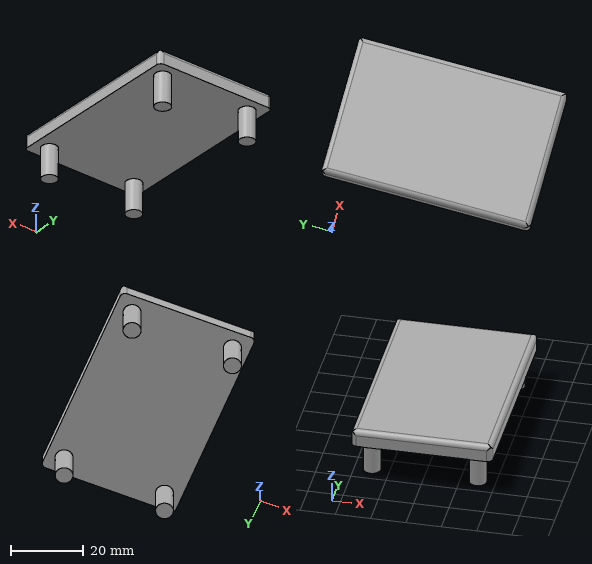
import cadquery as cq

length = 60.0
width = length * 2 / 3
height = length / 4

plate_thickness = height / 3
leg_height = height - plate_thickness
edge_radius = 1.5
leg_diameter = length / 12
leg_inset = leg_diameter


def rounded_block(edge_selector):
    """Plate-sized block standing on the legs, with the selected edges rounded."""
    block = cq.Workplane("XY").workplane(offset=leg_height).box(
        width, length, plate_thickness, centered=(True, True, False)
    )
    return block.edges(edge_selector).fillet(edge_radius)


def make_plate():
    """Plate with rounded upright and top edges, whose rounds meet in mitres at the corners."""
    rounded_uprights = rounded_block("|Z")
    rounded_long_edges = rounded_block(">Z and |Y")
    rounded_short_edges = rounded_block(">Z and |X")
    return rounded_uprights.intersect(rounded_long_edges).intersect(rounded_short_edges)


def make_legs():
    """Four round legs, one near each corner, standing on Z = 0."""
    return (
        cq.Workplane("XY")
        .rect(width - 2 * leg_inset, length - 2 * leg_inset, forConstruction=True)
        .vertices()
        .circle(leg_diameter / 2)
        .extrude(leg_height)
    )


result = make_plate().union(make_legs())